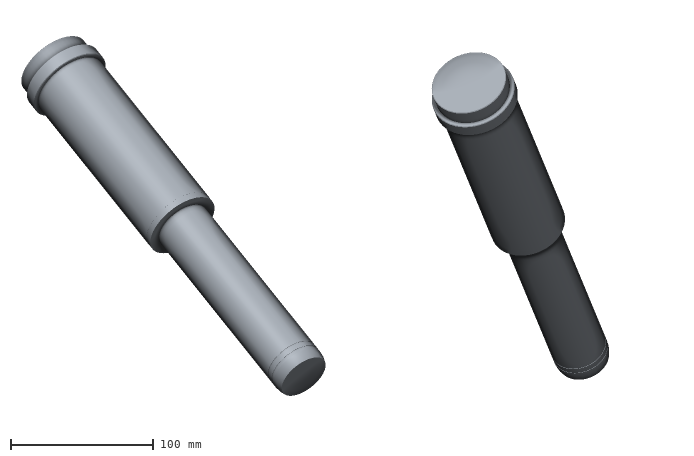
import cadquery as cq

total_length = 323.0
body_diameter = 54.0
collar_diameter = 60.0
pin_diameter = 40.0

collar_start = 12.0
collar_width = 10.0
body_end = 166.7
lead_length = 5.0

lead_depth = 0.1
edge_chamfer = 0.5

relief_width = 1.0
relief_depth = 0.3
groove_starts = (307.5, 312.5)

nose_length = 7.8
nose_end_diameter = 36.8


def cylinder(start, length, diameter):
    """Solid cylinder around the X axis."""
    return cq.Workplane("YZ", origin=(start, 0, 0)).circle(diameter / 2).extrude(length)


def relief(start, width, diameter, depth=relief_depth):
    """Ring-shaped cutter that takes a shallow band off the given diameter."""
    outer = cylinder(start, width, diameter + depth)
    return outer.cut(cylinder(start, width, diameter - 2 * depth))


def pin_with_nose():
    """Slender pin whose nose is an arc tangent to its side."""
    pin_radius = pin_diameter / 2
    end_radius = nose_end_diameter / 2
    nose_start = total_length - nose_length
    profile = (
        cq.Workplane("XY")
        .moveTo(body_end, 0)
        .lineTo(body_end, pin_radius)
        .lineTo(nose_start, pin_radius)
        .tangentArcPoint((total_length, end_radius), relative=False)
        .lineTo(total_length, 0)
        .close()
    )
    return profile.revolve(360, (0, 0, 0), (1, 0, 0))


result = cylinder(0, body_end, body_diameter).faces("<X").chamfer(edge_chamfer)
collar = cylinder(collar_start, collar_width, collar_diameter).faces("<X or >X").chamfer(edge_chamfer)
result = result.union(collar)
result = result.union(pin_with_nose())

collar_end = collar_start + collar_width
result = result.cut(relief(collar_start - relief_width, relief_width, body_diameter))
result = result.cut(relief(collar_end, relief_width, body_diameter))
result = result.cut(relief(body_end, relief_width, pin_diameter))

for groove_start in groove_starts:
    result = result.cut(relief(groove_start, relief_width, pin_diameter))

lead_start = body_end - lead_length
result = result.cut(relief(lead_start, lead_length, body_diameter, lead_depth))